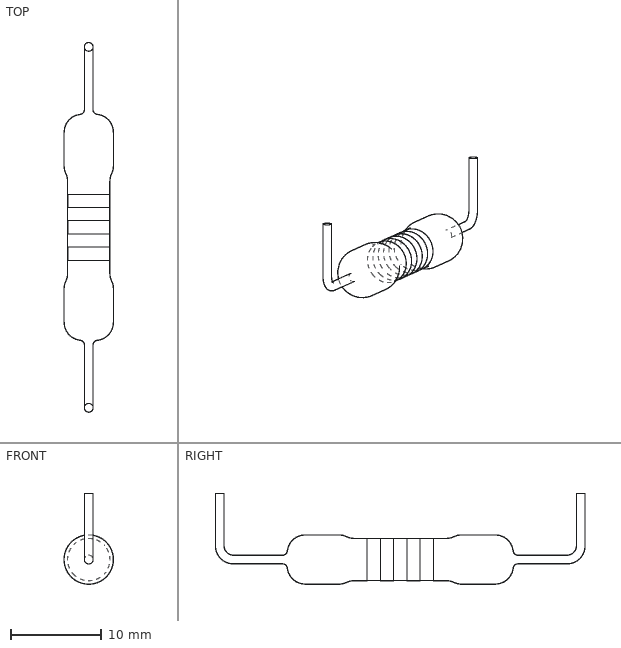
import cadquery as cq
import math

overall_length = 41.0
overall_height = 10.1
lead_diameter = 1.0
bend_radius = 1.5

cap_diameter = 5.5
body_half_length = 12.55
dome_radius = 2.0
flare_radius = 0.5
cap_inner_end = 6.72
shoulder_mid_y = 6.0

plain_diameter = 4.67
raised_diameter = 4.7
band_count = 7
banded_length = 10.25

lead_radius = lead_diameter / 2
cap_radius = cap_diameter / 2
plain_radius = plain_diameter / 2
raised_radius = raised_diameter / 2
banded_end = banded_length / 2
band_width = banded_length / band_count

dome_center_y = body_half_length - dome_radius
dome_center_r = cap_radius - dome_radius
flare_center_r = lead_radius + flare_radius
center_offset_r = flare_center_r - dome_center_r
center_distance = dome_radius + flare_radius
flare_center_y = dome_center_y + math.sqrt(center_distance**2 - center_offset_r**2)
flare_angle = math.acos(center_offset_r / center_distance)

shoulder_drop = cap_radius - raised_radius
shoulder_run = cap_inner_end - banded_end
shoulder_turn = 2 * math.atan(shoulder_drop / shoulder_run)
convex_run = cap_inner_end - shoulder_mid_y
concave_run = shoulder_mid_y - banded_end
convex_radius = convex_run / math.sin(shoulder_turn)
concave_radius = concave_run / math.sin(shoulder_turn)
shoulder_mid_r = raised_radius + shoulder_drop * concave_run / shoulder_run


def polar(center_r, center_y, radius, angle):
    """Point on a profile circle, as (distance from axis, Y)."""
    return (center_r + radius * math.cos(angle), center_y + radius * math.sin(angle))


def make_end_cap():
    """Domed cap on the +Y side, with lead flare and inner shoulder."""
    dome_mid = polar(dome_center_r, dome_center_y, dome_radius, flare_angle / 2)
    dome_end = polar(dome_center_r, dome_center_y, dome_radius, flare_angle)
    flare_mid = polar(
        flare_center_r, flare_center_y, flare_radius, math.pi + flare_angle / 2
    )
    convex_mid = polar(
        cap_radius - convex_radius, cap_inner_end, convex_radius, -shoulder_turn / 2
    )
    concave_mid = polar(
        raised_radius + concave_radius, banded_end, concave_radius, math.pi - shoulder_turn / 2
    )
    return (
        cq.Workplane("XY")
        .moveTo(0, banded_end)
        .lineTo(raised_radius, banded_end)
        .threePointArc(concave_mid, (shoulder_mid_r, shoulder_mid_y))
        .threePointArc(convex_mid, (cap_radius, cap_inner_end))
        .lineTo(cap_radius, dome_center_y)
        .threePointArc(dome_mid, dome_end)
        .threePointArc(flare_mid, (lead_radius, flare_center_y))
        .lineTo(0, flare_center_y)
        .close()
        .revolve(360, (0, 0, 0), (0, 1, 0))
    )


def make_core():
    """Cylinder with alternating plain and slightly raised colour bands."""
    core = None
    for index in range(band_count):
        radius = plain_radius if index % 2 else raised_radius
        start_y = -banded_end + index * band_width
        plane = cq.Plane(origin=(0, start_y, 0), xDir=(1, 0, 0), normal=(0, 1, 0))
        band = cq.Workplane(plane).circle(radius).extrude(band_width)
        core = band if core is None else core.union(band)
    return core


def make_lead():
    """Wire leaving the +Y cap and bending up to +Z."""
    wire_y = overall_length / 2 - lead_radius
    top_z = overall_height - cap_radius
    bend_start_y = wire_y - bend_radius
    bend_mid = polar(bend_start_y, bend_radius, bend_radius, -math.pi / 4)
    path = (
        cq.Workplane("YZ")
        .moveTo(flare_center_y, 0)
        .lineTo(bend_start_y, 0)
        .threePointArc(bend_mid, (wire_y, bend_radius))
        .lineTo(wire_y, top_z)
    )
    section = cq.Plane(origin=(0, flare_center_y, 0), xDir=(1, 0, 0), normal=(0, 1, 0))
    return cq.Workplane(section).circle(lead_radius).sweep(path)


end_assembly = make_end_cap().union(make_lead())
result = make_core().union(end_assembly).union(end_assembly.mirror("XZ"))